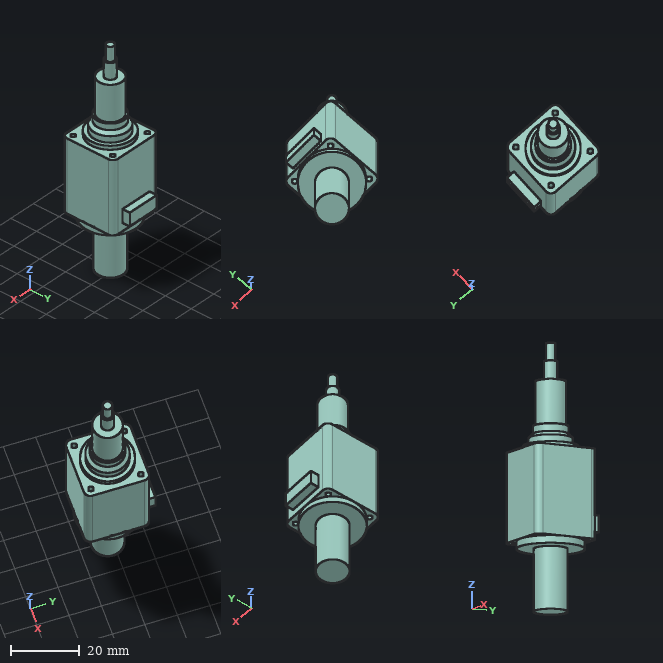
import cadquery as cq

body_width = 20.0
corner_radius = 2.0
body_bottom = 20.9
body_top = 47.75
hole_diameter = 1.6
hole_spacing = 15.4

rear_tube_diameter = 10.0
flange_bottom = 18.65
flange_diameter = body_width

pilot_diameter = 16.1
pilot_top = 49.2
shoulder_diameter = 13.0
shoulder_top = 51.5
collar_diameter = 10.45
collar_top = 55.1
cone_height = (shoulder_diameter - collar_diameter) / 2
sleeve_diameter = 9.0
sleeve_top = 68.4

connector_width = 11.95
connector_depth = 2.8
connector_bottom = 23.8
connector_top = 28.8

shaft_diameter = 3.9
shaft_shoulder = 74.35
tip_diameter = 2.8
overall_height = 79.7


def cylinder(diameter, bottom, top):
    """Vertical cylinder on the motor axis."""
    return cq.Workplane("XY").workplane(offset=bottom).circle(diameter / 2).extrude(top - bottom)


def make_square_body():
    """Square motor body with rounded corners."""
    return (
        cq.Workplane("XY")
        .workplane(offset=body_bottom)
        .rect(body_width, body_width)
        .extrude(body_top - body_bottom)
        .edges("|Z")
        .fillet(corner_radius)
    )


def make_rear_end():
    """Round rear flange and the tube below it."""
    tube = cylinder(rear_tube_diameter, 0, flange_bottom)
    flange = cylinder(flange_diameter, flange_bottom, body_bottom)
    return tube.union(flange)


def make_nose():
    """Pilot, shoulder with its cone, collar and guide sleeve."""
    pilot = cylinder(pilot_diameter, body_top, pilot_top)
    shoulder = (
        cylinder(shoulder_diameter, pilot_top, shoulder_top + cone_height)
        .faces(">Z")
        .edges()
        .chamfer(cone_height)
    )
    collar = cylinder(collar_diameter, shoulder_top, collar_top)
    sleeve = cylinder(sleeve_diameter, collar_top, sleeve_top)
    return pilot.union(shoulder).union(collar).union(sleeve)


def make_connector():
    """Rectangular connector block on the +Y face."""
    return (
        cq.Workplane("XY")
        .workplane(offset=connector_bottom)
        .center(0, (body_width + connector_depth) / 2)
        .rect(connector_width, connector_depth)
        .extrude(connector_top - connector_bottom)
    )


def make_mounting_holes():
    """Four holes running the full height of the square body."""
    return (
        cq.Workplane("XY")
        .workplane(offset=body_bottom)
        .rect(hole_spacing, hole_spacing, forConstruction=True)
        .vertices()
        .circle(hole_diameter / 2)
        .extrude(body_top - body_bottom)
    )


def make_motor():
    """Motor housing with its nose, rear end and connector."""
    motor = make_square_body().union(make_rear_end()).union(make_nose()).union(make_connector())
    return motor.cut(make_mounting_holes())


def make_shaft():
    """Stepped output shaft."""
    thick_end = cylinder(shaft_diameter, sleeve_top, shaft_shoulder)
    tip = cylinder(tip_diameter, shaft_shoulder, overall_height)
    return thick_end.union(tip)


motor = make_motor()
shaft = make_shaft()

result = cq.Compound.makeCompound([motor.val(), shaft.val()])